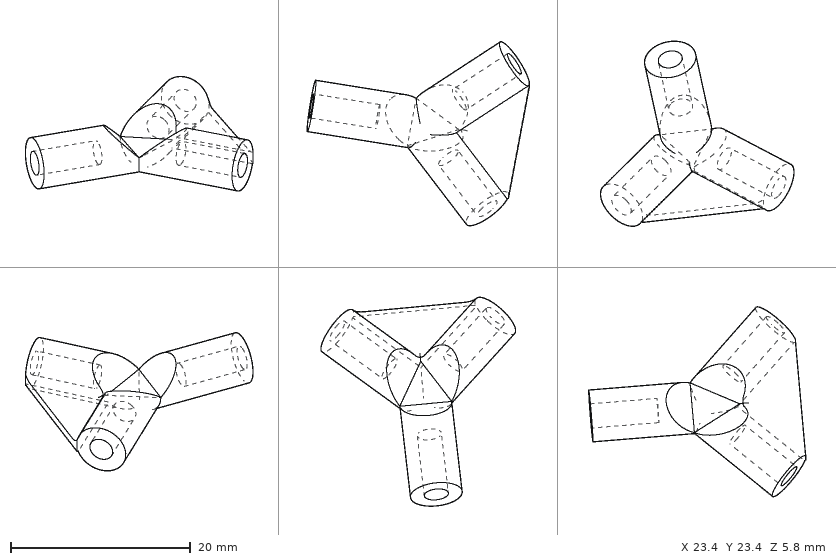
import cadquery as cq
import math

overall_size = 23.4
tube_diameter = 5.8
bore_diameter = 2.7
bore_depth = 7.48
web_thickness = 1.0
fillet_radius = 1.0
diagonal_angle = 225.0
arm_angles = (0.0, 90.0, diagonal_angle)

tube_radius = tube_diameter / 2
arm_length = (overall_size - tube_radius * math.sqrt(0.5)) / (1 + math.sqrt(0.5))


def arm_cylinder(radius, start, length, angle):
    """Cylinder on the axis of the arm at the given angle, beginning at distance start."""
    cylinder = cq.Workplane("YZ").workplane(offset=start).circle(radius).extrude(length)
    return cylinder.rotate((0, 0, 0), (0, 0, 1), angle)


def web_prism(bottom, height):
    """Prism on the web outline, whose long edge joins the ends of the X and Y arms."""
    outline = [
        (0, 0),
        (arm_length, 0),
        (arm_length, tube_radius),
        (tube_radius, arm_length),
        (0, arm_length),
    ]
    return cq.Workplane("XY").workplane(offset=bottom).polyline(outline).close().extrude(height)


def web_fillet():
    """Concave fillet from the X arm down to the web top, which lies at Z = 0."""
    center_distance = tube_radius + fillet_radius
    web_tangent = math.sqrt(center_distance**2 - fillet_radius**2)
    tube_tangent = tube_radius * web_tangent / center_distance
    tube_tangent_height = tube_radius * fillet_radius / center_distance
    tube_direction = math.pi + math.asin(fillet_radius / center_distance)
    middle_direction = (tube_direction + 1.5 * math.pi) / 2
    arc_middle = (
        web_tangent + fillet_radius * math.cos(middle_direction),
        fillet_radius + fillet_radius * math.sin(middle_direction),
    )
    return (
        cq.Workplane("YZ")
        .moveTo(tube_tangent, tube_tangent_height)
        .threePointArc(arc_middle, (web_tangent, 0))
        .lineTo(web_tangent, -web_thickness)
        .lineTo(tube_tangent, -web_thickness)
        .close()
        .extrude(arm_length)
    )


def center_pocket():
    """Triangular pocket with its floor at Z = 0 and walls that lean outward at 45 degrees."""
    crossing = tube_radius * math.tan(math.radians(diagonal_angle - 180) / 2)
    corners = [
        (-tube_radius, crossing),
        (crossing, -tube_radius),
        (tube_radius, tube_radius),
    ]
    rise = tube_diameter
    floor = cq.Workplane("XY").polyline(corners).close()
    rim = floor.offset2D(rise, "intersection").translate((0, 0, rise))
    return cq.Workplane(cq.Solid.makeLoft([floor.val(), rim.val()], True))


body = arm_cylinder(tube_radius, 0, arm_length, arm_angles[0])
for angle in arm_angles[1:]:
    body = body.union(arm_cylinder(tube_radius, 0, arm_length, angle))

x_fillet = web_fillet()
y_fillet = x_fillet.mirror("YZ").rotate((0, 0, 0), (0, 0, 1), -90)
fillet_limits = web_prism(-web_thickness, web_thickness + tube_radius)
body = body.union(web_prism(-web_thickness, web_thickness))
for fillet in (x_fillet, y_fillet):
    body = body.union(fillet.intersect(fillet_limits))

body = body.cut(center_pocket())
for angle in arm_angles:
    body = body.cut(arm_cylinder(bore_diameter / 2, arm_length - bore_depth, bore_depth, angle))

result = body